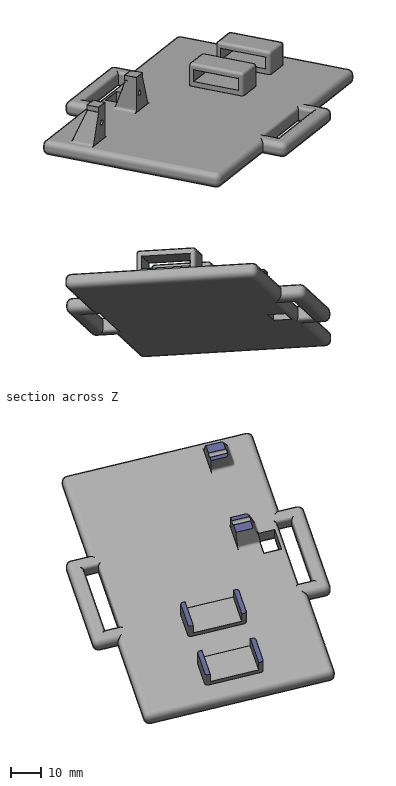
import cadquery as cq

plate_x = 65.0
plate_y = 100.0
plate_thickness = 5.0
plate_edge_radius = 2.0

span_x = 81.0
ear_y = 35.0
strap_slot_x = 5.0
strap_slot_y = 25.0
strap_slot_wall = 5.0
strap_slot_edge_radius = 1.0

window_x = 6.0
window_y = 8.0
window_center_x = -26.0
window_center_y = -6.0

loop_x = 20.0
loop_y = 10.0
loop_height = 8.0
loop_centers_y = (18.0, 38.0)
loop_edge_radius = 1.0
loop_opening_x = 16.4
loop_opening_height = 4.2
loop_opening_sill = 1.8

post_height = 12.5
post_head_height = 1.8
shaft_height = post_height - post_head_height
post_head_x = 4.3
post_head_y = 4.6
post_slope_run = 3.9
post_corner_radius = 0.9
post_foot_radius = 0.9
post_face_x = -15.3
post_gap = 23.2
posts_center_y = -26.4
pin_hole_diameter = 1.7
pin_hole_height = 6.2
pin_hole_inset = 2.3

slab_thickness = 2.0
slab_rim = 0.2

tolerance = 0.1


def make_plate():
    """Plate and ears in one outline, rounded everywhere but at the upright inner corners."""
    plate = cq.Workplane("XY").box(plate_x, plate_y, plate_thickness, centered=(True, True, False))
    ears = cq.Workplane("XY").box(span_x, ear_y, plate_thickness, centered=(True, True, False))
    body = plate.union(ears)

    def is_inner_corner(edge):
        center = edge.Center()
        beside_plate = abs(abs(center.x) - plate_x / 2) < tolerance
        beside_ear = abs(abs(center.y) - ear_y / 2) < tolerance
        return beside_plate and beside_ear

    outer_edges = [edge for edge in body.edges().vals() if not is_inner_corner(edge)]
    return body.newObject(outer_edges).fillet(plate_edge_radius)


def cut_strap_slots(body):
    """Cut one strap slot through each ear and round its top and bottom rims."""
    slot_center_x = span_x / 2 - strap_slot_wall - strap_slot_x / 2
    slots = (
        cq.Workplane("XY")
        .pushPoints([(-slot_center_x, 0), (slot_center_x, 0)])
        .rect(strap_slot_x, strap_slot_y)
        .extrude(plate_thickness)
    )
    body = body.cut(slots)
    reach_x = strap_slot_x / 2 + tolerance
    reach_y = strap_slot_y / 2 + tolerance
    for x in (-slot_center_x, slot_center_x):
        for z in (0, plate_thickness):
            rim = cq.selectors.BoxSelector(
                (x - reach_x, -reach_y, z - tolerance), (x + reach_x, reach_y, z + tolerance))
            body = body.edges(rim).fillet(strap_slot_edge_radius)
    return body


def make_loop(center_y):
    """Block with rounded sides and top, open along Y."""
    block = (
        cq.Workplane("XY")
        .box(loop_x, loop_y, loop_height, centered=(True, True, False))
        .edges("|Z or >Z")
        .fillet(loop_edge_radius)
    )
    opening = (
        cq.Workplane("XY", origin=(0, 0, loop_opening_sill))
        .box(loop_opening_x, loop_y, loop_opening_height, centered=(True, True, False))
    )
    return block.cut(opening).translate((0, center_y, plate_thickness))


def box_on_corner(size_x, size_y, height):
    """Box with one lower corner at the origin, reaching toward -X, +Y and +Z."""
    return cq.Workplane("XY").box(size_x, size_y, height, centered=False).translate((-size_x, 0, 0))


def slope_profile(plane, foot, head, height, depth):
    """Prism with one upright and one sloping side."""
    return (
        cq.Workplane(plane)
        .polyline([(0, 0), (foot, 0), (head, height), (0, height)])
        .close()
        .extrude(depth)
    )


def make_post():
    """Post with upright faces on X = 0 and Y = 0, sloping toward -X and +Y, on a filleted foot."""
    foot_x = post_head_x + post_slope_run
    foot_y = post_head_y + post_slope_run
    shaft = slope_profile("XZ", -foot_x, -post_head_x, shaft_height, -foot_y).intersect(
        slope_profile("YZ", foot_y, post_head_y, shaft_height, -foot_x))
    shaft = shaft.edges("not(#Z or >X)").fillet(post_corner_radius)

    slab_margin = post_foot_radius + slab_rim
    slab = box_on_corner(foot_x + 2 * slab_margin, foot_y + 2 * slab_margin, slab_thickness)
    slab = slab.translate((slab_margin, -slab_margin, -slab_thickness))
    post = shaft.union(slab)

    foot_zone = cq.selectors.BoxSelector(
        (-foot_x - tolerance, -tolerance, -tolerance), (-tolerance, foot_y + tolerance, tolerance))
    post = post.edges(foot_zone).fillet(post_foot_radius)

    head = box_on_corner(post_head_x, post_head_y, post_head_height)
    post = post.union(head.translate((0, 0, shaft_height)))
    pin_hole = (
        cq.Workplane("YZ")
        .center(pin_hole_inset, pin_hole_height)
        .circle(pin_hole_diameter / 2)
        .extrude(-foot_x)
    )
    return post.cut(pin_hole)


def place_posts(body):
    """Add the two posts with their upright Y faces turned toward each other."""
    front_post = make_post().mirror("XZ").translate((post_face_x, -post_gap / 2, plate_thickness))
    rear_post = make_post().translate((post_face_x, post_gap / 2, plate_thickness))
    return body.union(front_post.union(rear_post).translate((0, posts_center_y, 0)))


def cut_window(body):
    """Cut the window upward through everything, including the side of the rear post's foot."""
    window = (
        cq.Workplane("XY", origin=(window_center_x, window_center_y, 0))
        .rect(window_x, window_y)
        .extrude(plate_thickness + post_height)
    )
    return body.cut(window)


result = cut_strap_slots(make_plate())
for loop_center_y in loop_centers_y:
    result = result.union(make_loop(loop_center_y))
result = cut_window(place_posts(result))